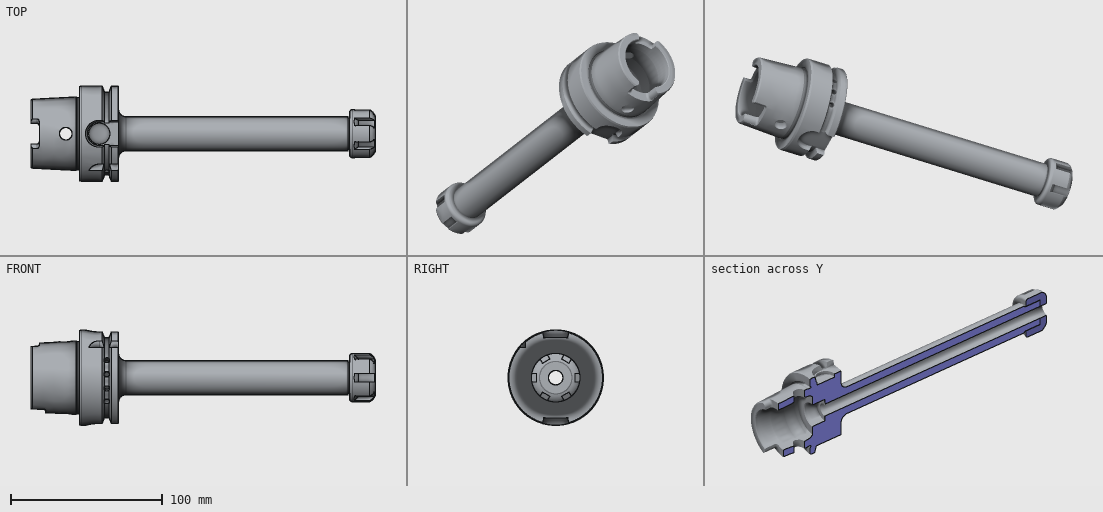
import cadquery as cq
import math


TAPER_LENGTH = 32.0
TAPER_BASE_R = 24.3
TAPER_TIP_R = 22.8
TIP_CHAMFER_LENGTH = 1.0
TIP_CHAMFER_DEPTH = 0.6
RELIEF_LENGTH = 2.3
RELIEF_RUNOUT = 0.8
RELIEF_DEPTH = 0.3
FACE_RELIEF_R = 25.4
FACE_RELIEF_DEPTH = 0.5

MOUTH_R = 17.3
MOUTH_CHAMFER = 0.5
MOUTH_DEPTH = 12.5
CAVITY_R = 18.5
CAVITY_CONE_LENGTH = 12.0
CAVITY_DEPTH = 34.0
CAVITY_FLOOR_CHAMFER = 1.8
COUNTERBORE_R = 8.7
COUNTERBORE_CHAMFER = 0.6
COUNTERBORE_DEPTH = 10.0
COOLANT_BORE_R = 4.7

SLOT_HALF_WIDTH = 6.7
SLOT_EDGE_R = 3.0
SLOT_EDGE_HEIGHT = 17.7
UPPER_SLOT_DEPTH = 5.6
LOWER_SLOT_DEPTH = 9.8
SLOT_CORNER_R = 1.4

CROSS_HOLE_R = 4.1
CROSS_HOLE_FROM_TIP = 23.1

FLANGE_R = 31.5
FLANGE_LENGTH = 26.0
FRONT_CHAMFER_LENGTH = 1.3
FRONT_CHAMFER_DEPTH = 0.4
REAR_CHAMFER = 0.6
GROOVE_START = 15.1
GROOVE_FLOOR_START = 16.7
GROOVE_FLOOR_END = 19.6
GROOVE_END = 21.1
GROOVE_R = 27.4

KEYWAY_FLOOR_HEIGHT = 26.5
KEYWAY_HALF_WIDTH = 7.8
KEYWAY_END_X = 13.2
KEYWAY_WALL_ANGLE = 15.0
RECESS_R = 7.0
RECESS_DEPTH = 2.6

NOTCH_OFFSET = 20.0
NOTCH_END_R = 8.0
NOTCH_END_X = 13.4

BALANCE_HOLE_R = 1.8
BALANCE_HOLE_DEPTH = 5.0
BALANCE_HOLE_PITCH = 20.0
BALANCE_HOLE_COUNT = 4
BALANCE_FIRST_ANGLE = -35.0

NECK_R = 11.3
NECK_FILLET_R = 4.8

TOTAL_LENGTH = 227.58
NUT_LENGTH = 17.3
NUT_R = 16.0
NUT_REAR_FILLET = 2.0
NUT_NOSE_LENGTH = 4.0
NUT_NOSE_R = 10.7
NUT_NOSE_MID_LENGTH = 2.2
NUT_NOSE_MID_R = 14.3
NUT_SLOT_COUNT = 6
NUT_SLOT_WIDTH = 5.6
NUT_SLOT_FLOOR_R = 12.6
NUT_SLOT_START = 3.1
NUT_SLOT_RUNOUT = 2.8

SPIGOT_R = 10.4
SPIGOT_ENGAGEMENT = 12.0
SHOULDER_GAP = 1.0

NUT_X = TOTAL_LENGTH - TAPER_LENGTH - NUT_LENGTH
SPIGOT_END_X = NUT_X + SPIGOT_ENGAGEMENT
CUT_MARGIN = 5.0


def revolve_about_x(profile):
    return profile.close().revolve(360, (0, 0, 0), (1, 0, 0))


def make_turned_blank():
    tip_x = -TAPER_LENGTH
    shoulder_x = NUT_X - SHOULDER_GAP
    fillet_diagonal = NECK_FILLET_R * (1 - math.sqrt(0.5))
    profile = (
        cq.Workplane("XY")
        .moveTo(tip_x, 0)
        .lineTo(tip_x, TAPER_TIP_R - TIP_CHAMFER_DEPTH)
        .lineTo(tip_x + TIP_CHAMFER_LENGTH, TAPER_TIP_R)
        .lineTo(-RELIEF_LENGTH, TAPER_BASE_R)
        .lineTo(-RELIEF_LENGTH + RELIEF_RUNOUT, TAPER_BASE_R - RELIEF_DEPTH)
        .lineTo(FACE_RELIEF_DEPTH, TAPER_BASE_R - RELIEF_DEPTH)
        .lineTo(FACE_RELIEF_DEPTH, FACE_RELIEF_R - FACE_RELIEF_DEPTH)
        .lineTo(0, FACE_RELIEF_R)
        .lineTo(0, FLANGE_R - FRONT_CHAMFER_DEPTH)
        .lineTo(FRONT_CHAMFER_LENGTH, FLANGE_R)
        .lineTo(GROOVE_START, FLANGE_R)
        .lineTo(GROOVE_FLOOR_START, GROOVE_R)
        .lineTo(GROOVE_FLOOR_END, GROOVE_R)
        .lineTo(GROOVE_END, FLANGE_R)
        .lineTo(FLANGE_LENGTH - REAR_CHAMFER, FLANGE_R)
        .lineTo(FLANGE_LENGTH, FLANGE_R - REAR_CHAMFER)
        .lineTo(FLANGE_LENGTH, NECK_R + NECK_FILLET_R)
        .threePointArc(
            (FLANGE_LENGTH + fillet_diagonal, NECK_R + fillet_diagonal),
            (FLANGE_LENGTH + NECK_FILLET_R, NECK_R),
        )
        .lineTo(shoulder_x, NECK_R)
        .lineTo(shoulder_x, SPIGOT_R)
        .lineTo(SPIGOT_END_X, SPIGOT_R)
        .lineTo(SPIGOT_END_X, 0)
    )
    return revolve_about_x(profile)


def make_cavity():
    tip_x = -TAPER_LENGTH
    floor_x = tip_x + CAVITY_DEPTH
    counterbore_x = floor_x + COUNTERBORE_DEPTH
    profile = (
        cq.Workplane("XY")
        .moveTo(tip_x, 0)
        .lineTo(tip_x, MOUTH_R + MOUTH_CHAMFER)
        .lineTo(tip_x + MOUTH_CHAMFER, MOUTH_R)
        .lineTo(tip_x + MOUTH_DEPTH, MOUTH_R)
        .lineTo(tip_x + MOUTH_DEPTH + CAVITY_CONE_LENGTH, CAVITY_R)
        .lineTo(floor_x - CAVITY_FLOOR_CHAMFER, MOUTH_R)
        .lineTo(floor_x, MOUTH_R - CAVITY_FLOOR_CHAMFER)
        .lineTo(floor_x, COUNTERBORE_R + COUNTERBORE_CHAMFER)
        .lineTo(floor_x + COUNTERBORE_CHAMFER, COUNTERBORE_R)
        .lineTo(counterbore_x, COUNTERBORE_R)
        .lineTo(counterbore_x, COOLANT_BORE_R)
        .lineTo(SPIGOT_END_X, COOLANT_BORE_R)
        .lineTo(SPIGOT_END_X, 0)
    )
    return revolve_about_x(profile)


def make_drive_slot(depth):
    """Slot in the upper rim with rounded outer edges and rounded floor corners."""
    top = TAPER_TIP_R + CUT_MARGIN
    outer_half_width = SLOT_HALF_WIDTH + SLOT_EDGE_R
    arc_mid_half_width = outer_half_width - SLOT_EDGE_R * math.sqrt(0.5)
    arc_mid_height = SLOT_EDGE_HEIGHT + SLOT_EDGE_R * math.sqrt(0.5)
    arc_top_height = SLOT_EDGE_HEIGHT + SLOT_EDGE_R
    return (
        cq.Workplane("YZ", origin=(-TAPER_LENGTH - CUT_MARGIN, 0, 0))
        .moveTo(-SLOT_HALF_WIDTH, 0)
        .lineTo(SLOT_HALF_WIDTH, 0)
        .lineTo(SLOT_HALF_WIDTH, SLOT_EDGE_HEIGHT)
        .threePointArc((arc_mid_half_width, arc_mid_height), (outer_half_width, arc_top_height))
        .lineTo(outer_half_width, top)
        .lineTo(-outer_half_width, top)
        .lineTo(-outer_half_width, arc_top_height)
        .threePointArc(
            (-arc_mid_half_width, arc_mid_height), (-SLOT_HALF_WIDTH, SLOT_EDGE_HEIGHT)
        )
        .close()
        .extrude(depth + CUT_MARGIN)
        .faces(">X")
        .edges("not |Y")
        .fillet(SLOT_CORNER_R)
    )


def make_keyway():
    """Round-ended upper keyway running out through the rear flange face."""
    height = FLANGE_R + CUT_MARGIN - KEYWAY_FLOOR_HEIGHT
    run_out_x = FLANGE_LENGTH + CUT_MARGIN
    return (
        cq.Workplane("XY", origin=(0, 0, KEYWAY_FLOOR_HEIGHT))
        .moveTo(KEYWAY_END_X, -KEYWAY_HALF_WIDTH)
        .lineTo(run_out_x, -KEYWAY_HALF_WIDTH)
        .lineTo(run_out_x, KEYWAY_HALF_WIDTH)
        .lineTo(KEYWAY_END_X, KEYWAY_HALF_WIDTH)
        .threePointArc(
            (KEYWAY_END_X - KEYWAY_HALF_WIDTH, 0),
            (KEYWAY_END_X, -KEYWAY_HALF_WIDTH),
        )
        .close()
        .extrude(height, taper=-KEYWAY_WALL_ANGLE)
    )


def make_keyway_recess():
    return (
        cq.Workplane("XY", origin=(KEYWAY_END_X, 0, KEYWAY_FLOOR_HEIGHT - RECESS_DEPTH))
        .circle(RECESS_R)
        .extrude(RECESS_DEPTH)
    )


def make_orientation_notch():
    """Square edge cut at -Y, +Z whose closed end curves out along an upright arc."""
    reach = FLANGE_R - NOTCH_OFFSET
    arc_diagonal = NOTCH_END_R * math.sqrt(0.5)
    arc_centre_y = -NOTCH_OFFSET - NOTCH_END_R
    return (
        cq.Workplane("XY", origin=(0, 0, NOTCH_OFFSET))
        .moveTo(FLANGE_LENGTH, -NOTCH_OFFSET)
        .lineTo(NOTCH_END_X, -NOTCH_OFFSET)
        .threePointArc(
            (NOTCH_END_X - arc_diagonal, arc_centre_y + arc_diagonal),
            (NOTCH_END_X - NOTCH_END_R, arc_centre_y),
        )
        .lineTo(NOTCH_END_X - NOTCH_END_R, -NOTCH_OFFSET - reach)
        .lineTo(FLANGE_LENGTH, -NOTCH_OFFSET - reach)
        .close()
        .extrude(reach)
    )


def make_balance_hole(angle):
    """Radial hole in the groove floor, swung from -Y towards +Z by the angle."""
    groove_middle_x = (GROOVE_FLOOR_START + GROOVE_FLOOR_END) / 2
    return (
        cq.Workplane("XZ", origin=(groove_middle_x, -GROOVE_R + BALANCE_HOLE_DEPTH, 0))
        .circle(BALANCE_HOLE_R)
        .extrude(BALANCE_HOLE_DEPTH + FLANGE_R - GROOVE_R)
        .rotate((0, 0, 0), (1, 0, 0), -angle)
    )


def make_holder():
    cross_hole = (
        cq.Workplane("XY", origin=(CROSS_HOLE_FROM_TIP - TAPER_LENGTH, 0, 0))
        .circle(CROSS_HOLE_R)
        .extrude(TAPER_BASE_R + CUT_MARGIN, both=True)
    )
    keyway = make_keyway()
    holder = (
        make_turned_blank()
        .cut(make_cavity())
        .cut(make_drive_slot(UPPER_SLOT_DEPTH))
        .cut(make_drive_slot(LOWER_SLOT_DEPTH).mirror("XY"))
        .cut(cross_hole)
        .cut(keyway)
        .cut(keyway.mirror("XY"))
        .cut(make_keyway_recess())
        .cut(make_orientation_notch())
    )
    for index in range(BALANCE_HOLE_COUNT):
        angle = BALANCE_FIRST_ANGLE + index * BALANCE_HOLE_PITCH
        holder = holder.cut(make_balance_hole(angle))
    return holder


def make_nut_slot(angle):
    """Spanner slot open at the nose, with a ramped closed end."""
    slot_x = NUT_X + NUT_SLOT_START
    end_x = NUT_X + NUT_LENGTH
    return (
        cq.Workplane("XY", origin=(0, 0, -NUT_SLOT_WIDTH / 2))
        .moveTo(slot_x, -NUT_R)
        .lineTo(slot_x + NUT_SLOT_RUNOUT, -NUT_SLOT_FLOOR_R)
        .lineTo(end_x, -NUT_SLOT_FLOOR_R)
        .lineTo(end_x, -NUT_R)
        .close()
        .extrude(NUT_SLOT_WIDTH)
        .rotate((0, 0, 0), (1, 0, 0), angle)
    )


def make_nut():
    end_x = NUT_X + NUT_LENGTH
    nose_x = end_x - NUT_NOSE_LENGTH
    fillet_diagonal = NUT_REAR_FILLET * (1 - math.sqrt(0.5))
    profile = (
        cq.Workplane("XY")
        .moveTo(NUT_X, SPIGOT_R)
        .lineTo(NUT_X, NUT_R - NUT_REAR_FILLET)
        .threePointArc(
            (NUT_X + fillet_diagonal, NUT_R - fillet_diagonal),
            (NUT_X + NUT_REAR_FILLET, NUT_R),
        )
        .lineTo(nose_x, NUT_R)
        .threePointArc((nose_x + NUT_NOSE_MID_LENGTH, NUT_NOSE_MID_R), (end_x, NUT_NOSE_R))
        .lineTo(end_x, COOLANT_BORE_R)
        .lineTo(SPIGOT_END_X, COOLANT_BORE_R)
        .lineTo(SPIGOT_END_X, SPIGOT_R)
    )
    nut = revolve_about_x(profile)
    for index in range(NUT_SLOT_COUNT):
        nut = nut.cut(make_nut_slot(index * 360 / NUT_SLOT_COUNT))
    return nut


holder = make_holder()
nut = make_nut()

result = cq.Compound.makeCompound([holder.solids().val(), nut.solids().val()])